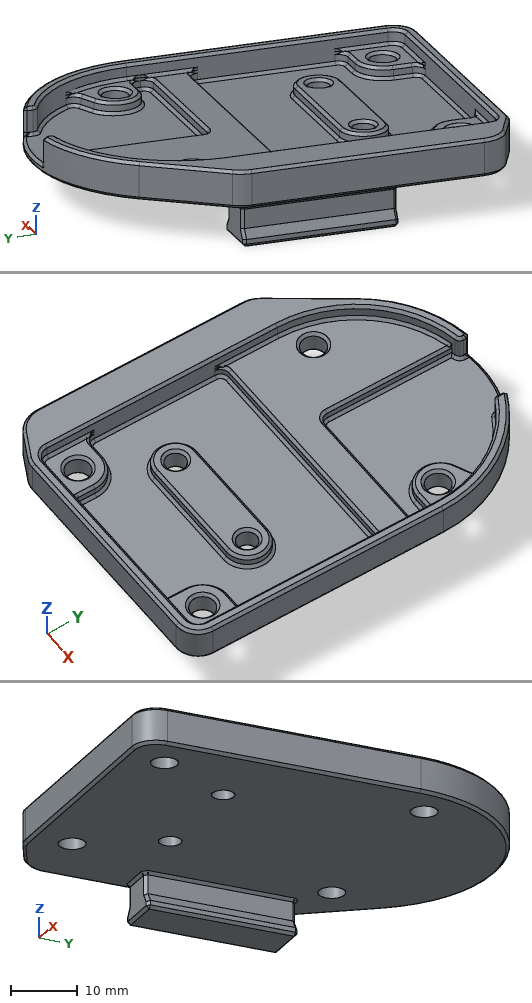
import cadquery as cq
import math


arch_radius = 23.0
shelf_side = 28.0
square_end = 46.0
tray_height = 6.0
corner_radius = 4.0
shelf_corner_radius = 5.0
cut_corner_x = 8.0
cut_corner_y = 4.0
edge_chamfer = 0.5

wall = 2.0
pocket_floor = 1.5
ledge_floor = 3.5
pocket_corner_radius = 1.5
step_y = -9.9
arch_pocket_x = -4.5
arch_pocket_y = -3.8
opening_center_x = 3.0
opening_width = 12.0
opening_corner_radius = 1.0
opening_flare = 0.6

screw_diameter = 4.2
screw_x = 16.5
screw_arch_y = 3.5
screw_square_y = -39.5
boss_radius = 4.5
arch_boss_radius = 4.0
flank_angle = math.radians(25)

bar_radius = 3.8
bar_y = -26.5
bar_hole_x = 9.45
bar_hole_diameter = 3.5

rail_center_x = -24.0
rail_center_y = -12.75
rail_length = 25.0
rail_depth = 6.3
neck_half_width = 2.9
foot_half_width = 3.8
neck_depth = 3.6
foot_flare_depth = 5.05
rail_overlap = 1.0

inner_radius = arch_radius - wall
inner_end = square_end - wall
opening_left = opening_center_x - opening_width / 2
opening_right = opening_center_x + opening_width / 2
far = 2 * square_end


def rectangle_prism(x_min, x_max, y_min, y_max, height):
    return cq.Workplane("XY").box(x_max - x_min, y_max - y_min, height, centered=False).translate(
        (x_min, y_min, 0)
    )


def vertical_edge(x, y):
    """Selector for the upright edge close to the point (x, y)."""
    reach = edge_chamfer
    return cq.selectors.BoxSelector((x - reach, y - reach, -far), (x + reach, y + reach, far))


def make_tray_blank():
    tangent_angle = math.acos(arch_radius / shelf_side)
    tangent_x = -arch_radius * math.cos(tangent_angle)
    tangent_y = arch_radius * math.sin(tangent_angle)
    blank = (
        cq.Workplane("XY")
        .moveTo(arch_radius, 0)
        .threePointArc((0, arch_radius), (tangent_x, tangent_y))
        .lineTo(-shelf_side, 0)
        .lineTo(-shelf_side, cut_corner_y - square_end)
        .lineTo(cut_corner_x - shelf_side, -square_end)
        .lineTo(arch_radius, -square_end)
        .close()
        .extrude(tray_height)
    )
    for x, y, radius in (
        (-shelf_side, 0, shelf_corner_radius),
        (-shelf_side, cut_corner_y - square_end, shelf_corner_radius),
        (cut_corner_x - shelf_side, -square_end, corner_radius),
        (arch_radius, -square_end, corner_radius),
    ):
        blank = blank.edges("|Z").edges(vertical_edge(x, y)).fillet(radius)
    return blank.faces("<Z").edges().chamfer(edge_chamfer)


def make_cavity_prism(height):
    """Full area inside the wall."""
    prism = (
        cq.Workplane("XY")
        .moveTo(inner_radius, 0)
        .threePointArc((0, inner_radius), (-inner_radius, 0))
        .lineTo(-inner_radius, -inner_end)
        .lineTo(inner_radius, -inner_end)
        .close()
        .extrude(height)
    )
    return prism.edges("|Z and <Y").fillet(corner_radius - wall)


def make_square_boss(side, height):
    """Rounded boss that fills one corner of the square end; side is -1 or 1."""
    post = cq.Workplane("XY").center(side * screw_x, screw_square_y).circle(boss_radius).extrude(height)
    x_limits = sorted((side * screw_x, side * arch_radius))
    toward_wall = rectangle_prism(*x_limits, -square_end, screw_square_y + boss_radius, height)
    x_limits = sorted((side * (screw_x - boss_radius), side * arch_radius))
    toward_end = rectangle_prism(*x_limits, -square_end, screw_square_y, height)
    return post.union(toward_wall).union(toward_end)


def make_arch_boss(height):
    """Rounded boss with one straight and one sloping flank running into the arch wall."""
    flank_x = screw_x - arch_boss_radius * math.sin(flank_angle)
    flank_y = screw_arch_y + boss_radius * math.cos(flank_angle)
    flank_run = arch_radius - flank_x
    lower_y = screw_arch_y - arch_boss_radius
    return (
        cq.Workplane("XY")
        .moveTo(screw_x, lower_y)
        .lineTo(arch_radius, lower_y)
        .lineTo(arch_radius, flank_y + flank_run * math.tan(flank_angle))
        .lineTo(flank_x, flank_y)
        .threePointArc((screw_x - arch_boss_radius, screw_arch_y), (screw_x, lower_y))
        .close()
        .extrude(height)
    )


def make_square_pocket(height):
    pocket = make_cavity_prism(height).intersect(rectangle_prism(-far, far, -far, step_y, height))
    for side in (-1, 1):
        pocket = pocket.cut(make_square_boss(side, height))
    for side in (-1, 1):
        for x, y in (
            (inner_radius, step_y),
            (inner_radius, screw_square_y + boss_radius),
            (screw_x - boss_radius, -inner_end),
        ):
            pocket = pocket.edges("|Z").edges(vertical_edge(side * x, y)).fillet(pocket_corner_radius)
    return pocket


def make_opening(height):
    """Gap through the arch wall; it flares at the outside to bevel the wall ends."""
    opening = rectangle_prism(opening_left, opening_right, 0, far, height)
    for x, outward in ((opening_left, -1), (opening_right, 1)):
        outer_y = math.sqrt(arch_radius**2 - x**2)
        flare_start = (x, outer_y - opening_flare)
        flare_end = (x + outward * wall, outer_y - opening_flare + wall)
        flare = cq.Workplane("XY").polyline([flare_start, flare_end, (x, flare_end[1])]).close()
        opening = opening.union(flare.extrude(height))
    return opening


def make_opening_bevel():
    """Ring sector that bevels the rim of the pocket floor inside the opening."""
    cone_bottom = pocket_floor - edge_chamfer
    cone_height = 2 * edge_chamfer
    sector = rectangle_prism(
        opening_left - edge_chamfer, opening_right + edge_chamfer, 0, far, cone_height
    )
    cone = cq.Workplane("XY").circle(arch_radius).extrude(cone_height, taper=45)
    return sector.cut(cone).translate((0, 0, cone_bottom))


def make_arch_pocket(height):
    """Pocket under the arch, running out through the opening in the wall."""
    pocket = make_cavity_prism(height).intersect(
        rectangle_prism(arch_pocket_x, far, arch_pocket_y, far, height)
    )
    pocket = pocket.union(make_opening(height))
    pocket = pocket.cut(make_arch_boss(height))
    flank_offset = screw_arch_y * math.cos(flank_angle) - screw_x * math.sin(flank_angle) + arch_boss_radius
    flank_reach = math.sqrt(inner_radius**2 - flank_offset**2)
    flank_end_x = flank_reach * math.cos(flank_angle) - flank_offset * math.sin(flank_angle)
    flank_end_y = flank_reach * math.sin(flank_angle) + flank_offset * math.cos(flank_angle)
    for x, y in (
        (arch_pocket_x, arch_pocket_y),
        (inner_radius, arch_pocket_y),
        (inner_radius, screw_arch_y - arch_boss_radius),
        (flank_end_x, flank_end_y),
    ):
        pocket = pocket.edges("|Z").edges(vertical_edge(x, y)).fillet(pocket_corner_radius)
    for x in (opening_left, opening_right):
        corner = vertical_edge(x, math.sqrt(inner_radius**2 - x**2))
        pocket = pocket.edges("|Z").edges(corner).fillet(opening_corner_radius)
    return pocket


def make_pocket_tool(pocket):
    """Pocket with a sloped foot all round and a sloped lip where it breaks through the ledge."""
    lip_outline = pocket.faces("<Z").wires().vals()
    lip = cq.Workplane("XY").add(lip_outline).toPending().extrude(edge_chamfer, taper=-45)
    lip_bottom = ledge_floor - edge_chamfer
    lip = lip.translate((0, 0, lip_bottom)).intersect(make_cavity_prism(tray_height))
    body = pocket.faces("<Z").edges().chamfer(edge_chamfer).translate((0, 0, pocket_floor))
    return body.union(lip)


def make_bar():
    length = 2 * (bar_hole_x + bar_radius)
    plan = cq.Workplane("XY").center(0, bar_y)
    bar = plan.slot2D(length, 2 * bar_radius).extrude(ledge_floor - pocket_floor)
    bar = bar.faces(">Z").edges().chamfer(edge_chamfer)
    foot_growth = 2 * edge_chamfer
    foot = plan.slot2D(length + foot_growth, 2 * bar_radius + foot_growth).extrude(edge_chamfer, taper=45)
    return bar.union(foot).translate((0, 0, pocket_floor))


def make_hole_tool(x, y, diameter, top):
    """Through hole with a chamfered mouth at height top."""
    drill = cq.Workplane("XY").center(x, y).circle(diameter / 2).extrude(top)
    mouth = (
        cq.Workplane("XY", origin=(x, y, top))
        .circle(diameter / 2 + edge_chamfer)
        .extrude(-edge_chamfer, taper=45)
    )
    return drill.union(mouth)


def make_rail():
    half_profile = [
        (neck_half_width, rail_overlap),
        (neck_half_width, -neck_depth),
        (foot_half_width, -foot_flare_depth),
        (foot_half_width, -rail_depth),
    ]
    profile = half_profile + [(-x, z) for x, z in reversed(half_profile)]
    rail = cq.Workplane("XZ").polyline(profile).close().extrude(rail_length / 2, both=True)
    rail = rail.faces("<Y or >Y or <Z").edges().chamfer(edge_chamfer)
    neck = cq.Workplane("XY").rect(2 * neck_half_width, rail_length).extrude(edge_chamfer)
    neck_outline = neck.edges("|Z").chamfer(edge_chamfer).faces("<Z").wires().vals()
    skirt = cq.Workplane("XY").add(neck_outline).toPending().extrude(edge_chamfer, taper=-45)
    rail = rail.union(skirt.translate((0, 0, -edge_chamfer)))
    return rail.translate((rail_center_x, rail_center_y, 0))


pocket_height = tray_height - pocket_floor
ledge_cavity = make_cavity_prism(tray_height - ledge_floor).faces("<Z").edges().chamfer(edge_chamfer)

tray = make_tray_blank()
tray = tray.cut(ledge_cavity.translate((0, 0, ledge_floor)))
tray = tray.cut(make_pocket_tool(make_square_pocket(pocket_height)))
tray = tray.cut(make_pocket_tool(make_arch_pocket(pocket_height)))
tray = tray.faces(">Z").edges().chamfer(edge_chamfer)
tray = tray.cut(make_opening_bevel())
tray = tray.union(make_bar()).union(make_rail())
for side in (-1, 1):
    tray = tray.cut(make_hole_tool(side * bar_hole_x, bar_y, bar_hole_diameter, ledge_floor))
    for y in (screw_arch_y, screw_square_y):
        tray = tray.cut(make_hole_tool(side * screw_x, y, screw_diameter, ledge_floor))

result = tray